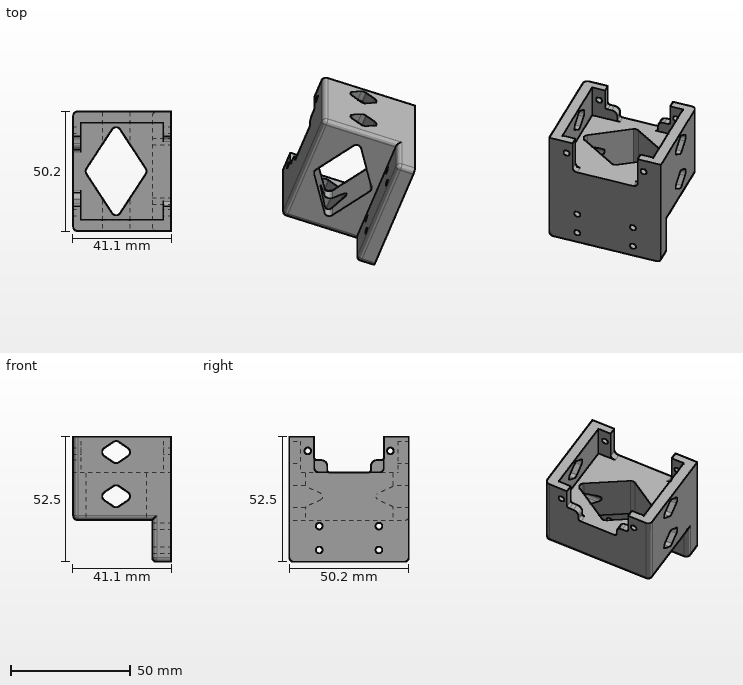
import cadquery as cq

length = 41.1
width = 50.2
height = 52.5

block_height = 35.0
block_bottom = height - block_height
flange_thickness = 8.0
flange_x = length - flange_thickness
edge_radius = 2.0

tray_depth = 15.0
floor_z = height - tray_depth
end_wall = 3.3
side_wall = 4.7

opening_half_width = 14.6
right_corner_radius = 2.0
ledge_depth = 9.8
ledge_z = height - ledge_depth
step_half_width = 9.1
left_corner_radius = 1.0
ledge_round_radius = 2.6

window_x = 18.05
window_radius = 2.0
floor_window_half_x = 13.1
floor_window_half_y = 20.05
side_window_half_x = 7.35
side_window_half_z = 5.0
tray_window_z = height - 6.5
block_window_z = (block_bottom + floor_z) / 2

hole_diameter = 2.7
lid_hole_half_spacing = 17.3
lid_hole_z = height - 6.0
flange_hole_half_spacing = 12.5
flange_hole_heights = (5.0, 15.0)

clearance = 1.0


def nearest(point):
    """Selector for the face or edge whose centre is closest to a point."""
    return cq.selectors.NearestToPointSelector(point)


def make_body():
    """L-shaped block with rounded edges on the left, front, back and underside."""
    profile = [
        (0, height),
        (0, block_bottom),
        (flange_x, block_bottom),
        (flange_x, 0),
        (length, 0),
        (length, height),
    ]
    body = cq.Workplane("XZ").polyline(profile).close().extrude(width / 2, both=True)
    left_edges = body.faces("<X").edges("not >Z")
    foot_edges = body.faces("<Z").edges("not >X")
    underside = body.faces(nearest((flange_x / 2, 0, block_bottom)))
    underside_edges = underside.edges("|X")
    flange_face = body.faces(nearest((flange_x, 0, block_bottom / 2)))
    flange_edges = flange_face.edges("|Z")
    rounded = left_edges.add(foot_edges).add(underside_edges).add(flange_edges)
    return rounded.fillet(edge_radius)


def cut_tray(body):
    """Rectangular tray open at the top."""
    tray = cq.Workplane("XY", origin=(0, 0, floor_z)).center(length / 2, 0)
    tray = tray.rect(length - 2 * end_wall, width - 2 * side_wall).extrude(tray_depth + clearance)
    return body.cut(tray)


def slot_along_x(half_width, bottom_z, start_x):
    """Block cut through one end wall, from bottom_z to above the top."""
    top_z = height + clearance
    return (
        cq.Workplane("YZ", origin=(start_x, 0, 0))
        .center(0, (bottom_z + top_z) / 2)
        .rect(2 * half_width, top_z - bottom_z)
        .extrude(end_wall)
    )


def round_ledge_edge(opening, y, radius):
    """Round the edge along X that lies at ledge height and the given y."""
    return opening.edges(nearest((end_wall / 2, y, ledge_z))).fillet(radius)


def cut_left_opening(body):
    """Stepped opening: a wide upper part and a narrow part down to the tray floor."""
    wide = slot_along_x(opening_half_width, ledge_z, 0)
    opening = wide.union(slot_along_x(step_half_width, floor_z, 0))
    opening = opening.edges("|X").edges("<Z").fillet(left_corner_radius)
    for side in (-1, 1):
        opening = round_ledge_edge(opening, side * opening_half_width, left_corner_radius)
        opening = round_ledge_edge(opening, side * step_half_width, ledge_round_radius)
    return body.cut(opening)


def cut_right_opening(body):
    """Plain opening down to the tray floor with rounded lower corners."""
    opening = slot_along_x(opening_half_width, floor_z, length - end_wall)
    return body.cut(opening.edges("|X").edges("<Z").fillet(right_corner_radius))


def rhombus_prism(plane, center, half_u, half_v, depth):
    """Round-cornered rhombic prism reaching half of depth to each side of center."""
    corners = [(half_u, 0), (0, half_v), (-half_u, 0), (0, -half_v)]
    prism = cq.Workplane(plane, origin=center).polyline(corners).close().extrude(depth / 2, both=True)
    normal_axis = {"XY": "|Z", "XZ": "|Y"}[plane]
    return prism.edges(normal_axis).fillet(window_radius)


def cut_windows(body):
    """One upright window through the floor and two crosswise windows through the sides."""
    floor_center = (window_x, 0, block_window_z)
    floor_depth = floor_z - block_bottom + 2 * clearance
    floor_window = rhombus_prism("XY", floor_center, floor_window_half_x, floor_window_half_y, floor_depth)
    body = body.cut(floor_window)
    for z in (tray_window_z, block_window_z):
        side_depth = width + 2 * clearance
        side_window = rhombus_prism("XZ", (window_x, 0, z), side_window_half_x, side_window_half_z, side_depth)
        body = body.cut(side_window)
    return body


def drill_along_x(body, half_spacing, z):
    """Pair of screw holes through the whole length, symmetric about Y = 0."""
    places = [(-half_spacing, z), (half_spacing, z)]
    holes = cq.Workplane("YZ").pushPoints(places).circle(hole_diameter / 2).extrude(length)
    return body.cut(holes)


result = make_body()
result = cut_tray(result)
result = cut_left_opening(result)
result = cut_right_opening(result)
result = cut_windows(result)
result = drill_along_x(result, lid_hole_half_spacing, lid_hole_z)
for hole_z in flange_hole_heights:
    result = drill_along_x(result, flange_hole_half_spacing, hole_z)